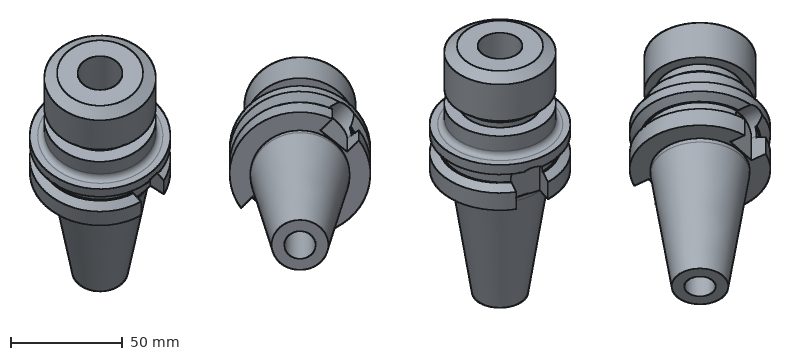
import cadquery as cq
import math


gauge_radius = 44.45 / 2
shank_length = 65.4
taper_ratio = 7 / 24
tail_radius = gauge_radius - shank_length * taper_ratio / 2

flange_radius = 63 / 2
flange_bottom = 2.0
flange_top = 27.0
groove_root_radius = 53 / 2
groove_flank_end_radius = 54.5 / 2
groove_center = 16.6
groove_mouth_width = 10.2
groove_flank_angle = 30.0
groove_flank_width = flange_radius - groove_flank_end_radius
groove_flank_height = groove_flank_width * math.tan(math.radians(groove_flank_angle))
groove_mouth_bottom = groove_center - groove_mouth_width / 2
groove_mouth_top = groove_center + groove_mouth_width / 2

slot_width = 16.1
slot_top = 23.0
slot_floor_distance = 22.6
slot_arc_center = slot_top - slot_width / 2

collar_radius = 25.0
collar_top = 38.2
collar_fillet = 3.0
neck_radius = 18.5
neck_top = 41.0
thread_radius = 20.2
thread_chamfer = thread_radius - neck_radius

nut_radius = 25.0
nut_bottom = 46.6
nut_top = 70.0
nut_face_radius = 19.25
nut_chamfer_angle = 30.0
nut_chamfer_width = nut_radius - nut_face_radius
nut_chamfer_height = nut_chamfer_width * math.tan(math.radians(nut_chamfer_angle))

collet_bore_radius = 10.0
collet_bore_bottom = 0.0
through_bore_radius = 7.0


def make_body():
    """Revolve the half section, traced from the tail up to the nut face."""
    fillet_mid_offset = collar_fillet * (1 - math.sqrt(0.5))
    section = (
        cq.Workplane("XZ")
        .moveTo(0, -shank_length)
        .lineTo(tail_radius, -shank_length)
        .lineTo(gauge_radius, 0)
        .lineTo(gauge_radius, flange_bottom)
        .lineTo(flange_radius, flange_bottom)
        .lineTo(flange_radius, groove_mouth_bottom)
        .lineTo(groove_flank_end_radius, groove_mouth_bottom + groove_flank_height)
        .lineTo(groove_root_radius, groove_mouth_bottom + groove_flank_height)
        .lineTo(groove_root_radius, groove_mouth_top - groove_flank_height)
        .lineTo(groove_flank_end_radius, groove_mouth_top - groove_flank_height)
        .lineTo(flange_radius, groove_mouth_top)
        .lineTo(flange_radius, flange_top)
        .lineTo(collar_radius + collar_fillet, flange_top)
        .threePointArc(
            (collar_radius + fillet_mid_offset, flange_top + fillet_mid_offset),
            (collar_radius, flange_top + collar_fillet),
        )
        .lineTo(collar_radius, collar_top)
        .lineTo(neck_radius, collar_top)
        .lineTo(neck_radius, neck_top)
        .lineTo(thread_radius, neck_top + thread_chamfer)
        .lineTo(thread_radius, nut_bottom)
        .lineTo(nut_radius, nut_bottom)
        .lineTo(nut_radius, nut_top - nut_chamfer_height)
        .lineTo(nut_face_radius, nut_top)
        .lineTo(0, nut_top)
        .close()
    )
    return section.revolve(360, (0, 0, 0), (0, 1, 0))


def make_key_slot(side):
    """Cutter for the round-topped key slot on the +X (side = 1) or -X (side = -1) flank."""
    half_width = slot_width / 2
    return (
        cq.Workplane("YZ", origin=(side * slot_floor_distance, 0, 0))
        .moveTo(-half_width, flange_bottom)
        .lineTo(half_width, flange_bottom)
        .lineTo(half_width, slot_arc_center)
        .threePointArc((0, slot_top), (-half_width, slot_arc_center))
        .close()
        .extrude(side * (flange_radius - slot_floor_distance))
    )


def make_bore(radius, bottom):
    """Cutter for an axial bore from the nut face down to the given height."""
    return cq.Workplane("XY", origin=(0, 0, bottom)).circle(radius).extrude(nut_top - bottom)


result = make_body()
for slot_side in (-1, 1):
    result = result.cut(make_key_slot(slot_side))
result = result.cut(make_bore(collet_bore_radius, collet_bore_bottom))
result = result.cut(make_bore(through_bore_radius, -shank_length))